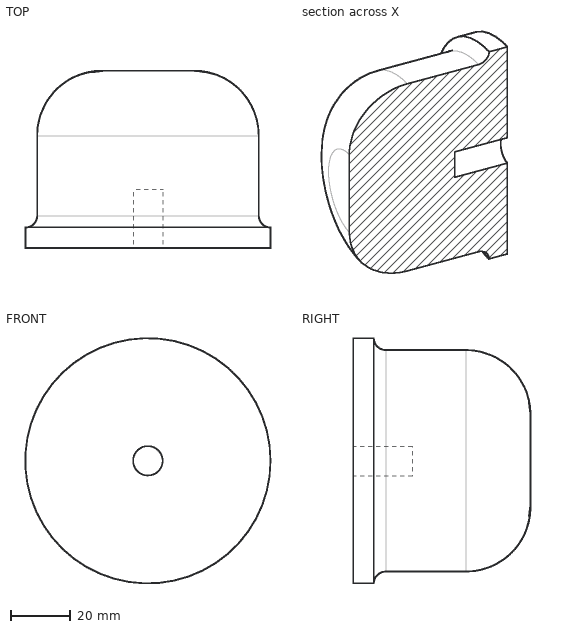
import cadquery as cq
import math

flange_radius = 41.5
flange_thickness = 7.0
total_length = 60.0
body_radius = 37.5
dome_radius = 22.0
hole_diameter = 10.0
hole_depth = 19.9

root_fillet = flange_radius - body_radius
front_y = -total_length / 2
flange_back_y = front_y + flange_thickness
back_y = front_y + total_length
diagonal = math.sqrt(0.5)


def turned_body():
    """Revolve the half profile, given as (radius, y), about the Y axis."""
    fillet_mid = (
        flange_radius - root_fillet * diagonal,
        flange_back_y + root_fillet * (1 - diagonal),
    )
    dome_mid = (
        body_radius - dome_radius * (1 - diagonal),
        back_y - dome_radius * (1 - diagonal),
    )
    profile = (
        cq.Workplane("XY")
        .moveTo(0, front_y)
        .lineTo(flange_radius, front_y)
        .lineTo(flange_radius, flange_back_y)
        .threePointArc(fillet_mid, (body_radius, flange_back_y + root_fillet))
        .lineTo(body_radius, back_y - dome_radius)
        .threePointArc(dome_mid, (body_radius - dome_radius, back_y))
        .lineTo(0, back_y)
        .close()
    )
    return profile.revolve(360, (0, 0, 0), (0, 1, 0))


def center_hole():
    """Cylinder running from the flange face into the body along +Y."""
    return (
        cq.Workplane("XZ", origin=(0, front_y, 0))
        .circle(hole_diameter / 2)
        .extrude(-hole_depth)
    )


result = turned_body().cut(center_hole())